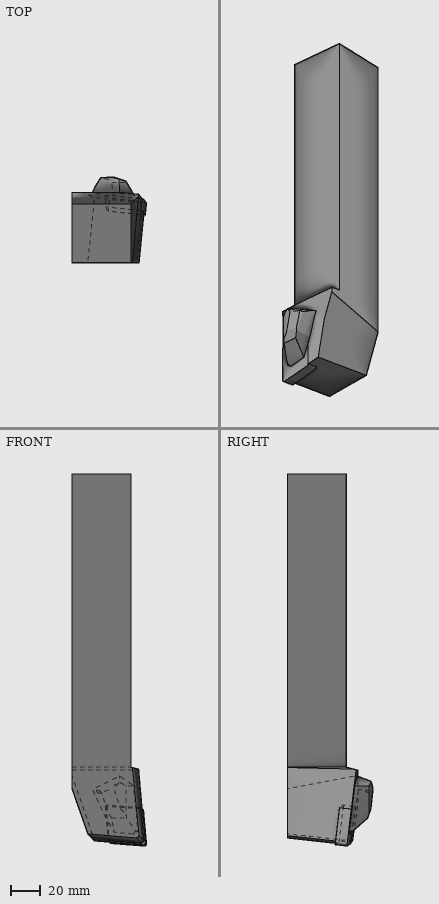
import cadquery as cq
import math

total_length = 251.3
shank_side = 40.0
shank_bottom = 25.1

head_depth = 47.8
shoulder_height = 53.3
shoulder_drop = 0.26
relief_height = 38.7
relief_lean = 0.19
relief_slope = 0.35
corner_chamfer = 1.8

rake_tilt = 0.1
tip_x = 50.5
tip_y = 40.2
tip_z = -0.13
insert_angle = 80.0
insert_side = 25.5
insert_thickness = 8.0
insert_nose_radius = 1.5
insert_overhang = 0.88

clamp_base = 40.2
clamp_height = 17.8
clamp_taper = 18.0
clamp_rim_radius = 3.8
clamp_plan = [(10.5, 39.5), (32.5, 50.0), (43.2, 41.7), (45.2, 10.0), (32.7, 1.3), (20.0, 20.5)]
clamp_side_outline = [
    (clamp_base, 50.5), (54.0, 46.2), (56.8, 43.2), (clamp_base + clamp_height, 39.0),
    (56.5, 25.1), (54.3, 18.9), (clamp_base, 6.5),
]
clamp_end_outline = [
    (8.8, clamp_base), (18.9, 56.8), (20.0, clamp_base + clamp_height),
    (28.5, clamp_base + clamp_height), (36.5, 55.3), (40.7, 48.0), (45.5, clamp_base),
]

block = 150.8


def tilted_plane():
    """Frame at the insert tip: X out of the side flank, Y down, Z out of the rake face."""
    return cq.Plane(
        origin=(tip_x, tip_y, tip_z),
        xDir=(1, -rake_tilt, rake_tilt),
        normal=(rake_tilt, 1, -rake_tilt * (1 + rake_tilt)),
    )


def across_rake():
    """Selector of the edges square to the rake face."""
    return cq.selectors.ParallelDirSelector(tilted_plane().zDir)


def make_shank():
    shank = cq.Workplane("XY", origin=(0, 0, shank_bottom)).box(
        shank_side, shank_side, total_length - shank_bottom, centered=False
    )
    return shank.cut(side_relief())


def side_relief():
    """Block beyond the slanted -X face, which leans with depth."""
    return (
        cq.Workplane(
            cq.Plane(
                origin=(0, 0, relief_height),
                xDir=(0, 1, relief_lean),
                normal=(-1, relief_slope * relief_lean, -relief_slope),
            )
        )
        .rect(2 * block, 2 * block)
        .extrude(block)
    )


def rhombus(corner_setback, edge_length):
    """Rhombus in the tilted frame with its acute corner moved back along its bisector."""
    half_angle = math.radians(insert_angle / 2)
    flank = (0, -edge_length)
    bottom_angle = math.radians(insert_angle)
    bottom = (-edge_length * math.sin(bottom_angle), -edge_length * math.cos(bottom_angle))
    return (
        cq.Workplane(tilted_plane())
        .center(-corner_setback * math.sin(half_angle), -corner_setback * math.cos(half_angle))
        .polyline([(0, 0), flank, (flank[0] + bottom[0], flank[1] + bottom[1]), bottom])
        .close()
    )


def tilted_head_block():
    """Block bounded by the side flank, the bottom flank and the rake face."""
    setback = insert_overhang / math.sin(math.radians(insert_angle / 2))
    head_block = rhombus(setback, block).extrude(-block)
    return head_block.edges(across_rake()).edges(">X").chamfer(corner_chamfer)


def shoulder_profile(plane, depth):
    """Head outline on one side, with a shoulder that slopes down from the shank."""
    reach = block - shank_side
    return (
        cq.Workplane(plane)
        .moveTo(0, -block)
        .lineTo(block, -block)
        .lineTo(block, shoulder_height - shoulder_drop * reach)
        .lineTo(shank_side, shoulder_height)
        .lineTo(0, shoulder_height)
        .close()
        .extrude(depth)
    )


def make_head():
    head = cq.Workplane("XY").box(block, head_depth, block, centered=False)
    head = head.translate((0, 0, -block / 2))
    head = head.intersect(tilted_head_block())
    head = head.intersect(shoulder_profile("YZ", block))
    head = head.intersect(shoulder_profile("XZ", -block))
    return head.cut(side_relief())


def make_clamp():
    """Tapered finger with a rounded rim, trimmed to its side and end outlines."""
    body = (
        cq.Workplane("XZ", origin=(0, clamp_base, 0))
        .polyline(clamp_plan)
        .close()
        .extrude(-clamp_height, taper=clamp_taper)
        .faces(">Y")
        .edges()
        .fillet(clamp_rim_radius)
    )
    side = cq.Workplane("YZ").polyline(clamp_side_outline).close().extrude(block)
    end = cq.Workplane("XY").polyline(clamp_end_outline).close().extrude(block)
    return body.intersect(side).intersect(end)


def make_insert():
    blank = rhombus(0, insert_side).extrude(-insert_thickness)
    return blank.edges(across_rake()).fillet(insert_nose_radius)


insert = make_insert()
holder = make_shank().union(make_head()).union(make_clamp()).cut(insert)
result = cq.Compound.makeCompound([holder.val(), insert.val()])